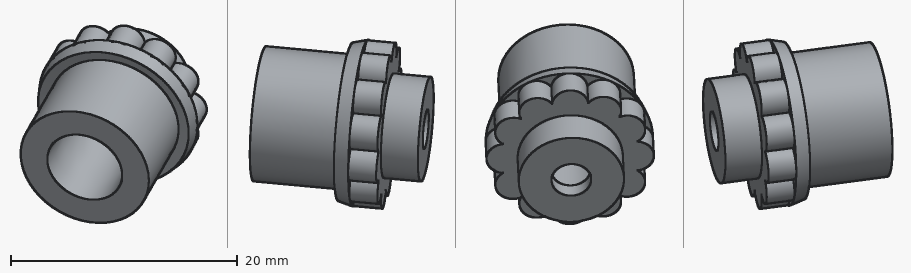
import cadquery as cq
import math

total_length = 14.8
boss_length = 3.3
lobe_length = 2.5
cone_length = 1.33
barrel_length = total_length - boss_length - lobe_length - cone_length

flange_radius = 7.4
barrel_radius = 6.0
boss_radius = 4.65
cone_angle = 15.0
flange_small_radius = flange_radius - cone_length * math.tan(math.radians(cone_angle))

dish_angle = 15.0
dish_depth = (flange_small_radius - barrel_radius) * math.tan(math.radians(dish_angle))

lobe_count = 12
lobe_radius = 1.6
lobe_circle_radius = flange_radius - lobe_radius

bore_mouth_radius = 3.5
bore_draft = 1.0
bore_floor_fillet = 0.5
floor_thickness = 1.5
through_hole_radius = 1.75

front_y = -total_length / 2
cone_start_y = front_y + barrel_length
lobe_start_y = cone_start_y + cone_length
boss_start_y = lobe_start_y + lobe_length
back_y = front_y + total_length
bore_floor_y = back_y - floor_thickness


def revolve_profile(points):
    """Revolve a closed (radius, y) profile about the Y axis."""
    return cq.Workplane("XY").polyline(points).close().revolve(360, (0, 0, 0), (0, 1, 0))


def make_body():
    """Stepped round body: barrel, dished conical flange, lobe core and boss."""
    return revolve_profile([
        (0, front_y),
        (barrel_radius, front_y),
        (barrel_radius, cone_start_y + dish_depth),
        (flange_small_radius, cone_start_y),
        (flange_radius, lobe_start_y),
        (lobe_circle_radius, lobe_start_y),
        (lobe_circle_radius, boss_start_y),
        (boss_radius, boss_start_y),
        (boss_radius, back_y),
        (0, back_y),
    ])


def add_lobes(body):
    """Set the round lobes around the core, one of them at the top (+Z)."""
    for index in range(lobe_count):
        angle = math.radians(index * 360 / lobe_count)
        lobe_x = lobe_circle_radius * math.sin(angle)
        lobe_z = lobe_circle_radius * math.cos(angle)
        lobe = cq.Solid.makeCylinder(
            lobe_radius,
            lobe_length,
            cq.Vector(lobe_x, lobe_start_y, lobe_z),
            cq.Vector(0, 1, 0),
        )
        body = body.union(cq.Workplane(obj=lobe))
    return body


def make_bore():
    """Drafted bore, rounded where its wall meets the floor."""
    bore_depth = bore_floor_y - front_y
    bore_floor_radius = bore_mouth_radius - bore_depth * math.tan(math.radians(bore_draft))
    bore = revolve_profile([
        (0, front_y),
        (bore_mouth_radius, front_y),
        (bore_floor_radius, bore_floor_y),
        (0, bore_floor_y),
    ])
    return bore.faces(">Y").edges().fillet(bore_floor_fillet)


def make_through_hole():
    """Round hole along the whole length of the axis."""
    return revolve_profile([
        (0, front_y),
        (through_hole_radius, front_y),
        (through_hole_radius, back_y),
        (0, back_y),
    ])


result = add_lobes(make_body()).cut(make_bore()).cut(make_through_hole())